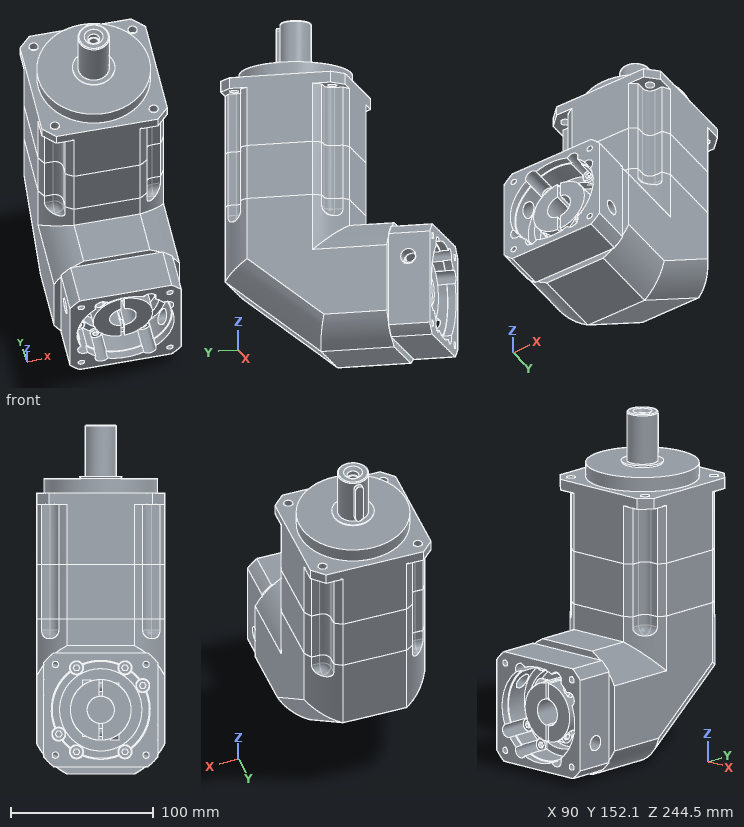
import cadquery as cq
import math

body_width = 90.0
half_width = body_width / 2
corner_radius = 50.9
axis_z = half_width

total_height = 244.5
seal_top_z = 208.5
pilot_top_z = 207.0
flange_top_z = 196.8
flange_bottom_z = 189.0
ring_top_z = 147.0
elbow_top_z = 108.5

pilot_radius = 39.9
flange_chamfer = 8.5
flange_hole_place = 35.5
flange_hole_radius = 3.2

groove_radius = 6.0
groove_bottom_z = 94.9

arm_end_y = -77.3
slant_top_z = 54.8
slant_bottom_y = -24.5

shaft_radius = 11.0
shaft_chamfer = 0.7
seal_top_radius = 15.0
seal_bottom_radius = 14.2
key_width = 5.9
key_top_y = 13.5
key_root_y = 7.3
key_top_z = 242.0
key_bottom_z = 210.0
centre_mouth_radius = 6.5
centre_relief_radius = 4.2
centre_cone_depth = 2.5
centre_relief_depth = 6.0
centre_drill_radius = 3.5
centre_drill_depth = 19.5

adapter_width = 80.0
adapter_length = 29.8
adapter_corner_radius = 51.8
motor_pilot_radius = 34.7
motor_pilot_depth = 5.9
adapter_bore_radius = 34.0
adapter_bore_depth = 22.0
adapter_rear_hole_radius = 28.9
motor_hole_place = 31.8
motor_hole_radius = 2.2
motor_hole_depth = 14.7

screw_circle_radius = 34.0
screw_angles = (30, 60, 120, 210, 240, 300)
screw_pocket_radius = 5.0
screw_pocket_depth = 25.7
screw_head_radius = 4.5
screw_head_height = 5.0
screw_socket_size = 4.6
screw_socket_depth = 2.5

hub_radius = 21.3
hub_front_depth = 9.3
hub_bore_radius = 9.5
slit_width = 2.5
slit_depth = 18.3
bolt_depth = 15.6
bolt_offset = 16.0
bolt_half_length = 13.0
bolt_shank_radius = 3.0
bolt_head_radius = 5.1
bolt_head_height = 6.0
bolt_socket_size = 5.9
bolt_socket_depth = 3.0
access_hole_radius = 5.5

section_flat = math.sqrt(corner_radius**2 - half_width**2)
adapter_front_y = arm_end_y - adapter_length
hub_front_y = adapter_front_y + hub_front_depth
hub_length = arm_end_y - hub_front_y
bolt_y = adapter_front_y + bolt_depth
reach = 2 * total_height


def rounded_prism(width, radius, length, plane, origin):
    """Square prism whose corners are turned down to a radius about its own axis."""
    square = cq.Workplane(plane, origin=origin).rect(width, width).extrude(length)
    round_bar = cq.Workplane(plane, origin=origin).circle(radius).extrude(length)
    return square.intersect(round_bar)


def cut_screw_grooves(body):
    """Cut the four round-bottomed corner grooves that start under the flange."""
    inner = flange_hole_place - groove_radius
    size = body_width - inner
    groove = (
        cq.Workplane("XY", origin=(inner, inner, groove_bottom_z))
        .box(size, size, flange_bottom_z - groove_bottom_z, centered=False)
        .edges("(<X and <Y) or (<X and <Z) or (<Y and <Z)")
        .fillet(groove_radius)
    )
    for turn in range(4):
        body = body.cut(groove.rotate((0, 0, 0), (0, 0, 1), 90 * turn))
    return body


def x_cylinder(radius, x_start, x_end, y, z):
    """Cylinder along X between two X positions."""
    return cq.Workplane("YZ", origin=(x_start, y, z)).circle(radius).extrude(x_end - x_start)


def make_output_housing():
    column_height = flange_bottom_z - ring_top_z
    column = rounded_prism(body_width, corner_radius, column_height, "XY", (0, 0, ring_top_z))
    flange = (
        cq.Workplane("XY", origin=(0, 0, flange_bottom_z))
        .rect(body_width, body_width)
        .extrude(flange_top_z - flange_bottom_z)
        .edges("|Z")
        .chamfer(flange_chamfer)
    )
    pilot = (
        cq.Workplane("XY", origin=(0, 0, flange_top_z))
        .circle(pilot_radius)
        .extrude(pilot_top_z - flange_top_z)
    )
    holes = (
        cq.Workplane("XY", origin=(0, 0, flange_bottom_z))
        .rect(2 * flange_hole_place, 2 * flange_hole_place, forConstruction=True)
        .vertices()
        .circle(flange_hole_radius)
        .extrude(flange_top_z - flange_bottom_z)
    )
    return cut_screw_grooves(column).union(flange).union(pilot).cut(holes)


def make_ring_housing():
    ring_height = ring_top_z - elbow_top_z
    ring = rounded_prism(body_width, corner_radius, ring_height, "XY", (0, 0, elbow_top_z))
    return cut_screw_grooves(ring)


def elbow_slab(outward_angle, face_y, face_z):
    """Endless slab of the body width, bounded by one outer face with rounded edges.

    The face passes through (face_y, face_z); its outward direction is turned
    from +Y towards +Z by outward_angle degrees.
    """
    edge_depth = half_width - section_flat
    arc_x = corner_radius / math.sqrt(2)
    arc_depth = half_width - arc_x
    slab = (
        cq.Workplane("XY", origin=(0, 0, -reach))
        .moveTo(-half_width, -reach)
        .lineTo(-half_width, -edge_depth)
        .threePointArc((-arc_x, -arc_depth), (-section_flat, 0))
        .lineTo(section_flat, 0)
        .threePointArc((arc_x, -arc_depth), (half_width, -edge_depth))
        .lineTo(half_width, -reach)
        .close()
        .extrude(2 * reach)
    )
    return slab.rotate((0, 0, 0), (1, 0, 0), outward_angle).translate((0, face_y, face_z))


def make_elbow():
    slant_angle = math.degrees(math.atan2(slant_bottom_y - half_width, slant_top_z))
    column_front = elbow_slab(180, -half_width, 0)
    arm_top = elbow_slab(90, 0, body_width)
    column_back = elbow_slab(0, half_width, 0)
    arm_bottom = elbow_slab(-90, 0, 0)
    slanted_back = elbow_slab(slant_angle, half_width, slant_top_z)
    limits = cq.Workplane("XY", origin=(-half_width, arm_end_y, 0)).box(
        body_width, half_width - arm_end_y, elbow_top_z, centered=False
    )
    elbow = limits.intersect(column_back).intersect(arm_bottom).intersect(slanted_back)
    elbow = elbow.intersect(column_front).union(elbow.intersect(arm_top))
    return cut_screw_grooves(elbow)


def make_output_shaft():
    relief_z = total_height - centre_cone_depth
    drill_z = total_height - centre_relief_depth
    tip_z = total_height - centre_drill_depth
    outline = (
        cq.Workplane("XZ")
        .moveTo(0, pilot_top_z)
        .lineTo(seal_bottom_radius, pilot_top_z)
        .lineTo(seal_top_radius, seal_top_z)
        .lineTo(shaft_radius, seal_top_z)
        .lineTo(shaft_radius, total_height - shaft_chamfer)
        .lineTo(shaft_radius - shaft_chamfer, total_height)
        .lineTo(centre_mouth_radius, total_height)
        .lineTo(centre_relief_radius, relief_z)
        .lineTo(centre_relief_radius, drill_z)
        .lineTo(centre_drill_radius, drill_z)
        .lineTo(centre_drill_radius, tip_z)
        .lineTo(0, tip_z - centre_drill_radius)
        .close()
    )
    shaft = outline.revolve(360, (0, 0, 0), (0, 1, 0))
    key = (
        cq.Workplane("XZ", origin=(0, key_top_y, (key_top_z + key_bottom_z) / 2))
        .slot2D(key_top_z - key_bottom_z, key_width, 90)
        .extrude(key_top_y - key_root_y)
    )
    return shaft.union(key)


def input_plane(y):
    """Work plane on the input axis, facing -Y."""
    return cq.Workplane("XZ", origin=(0, y, axis_z))


def input_cylinder(radius, front_y, depth):
    """Cylinder on the input axis, reaching from front_y towards +Y."""
    return input_plane(front_y).circle(radius).extrude(-depth)


def make_adapter():
    adapter = rounded_prism(
        adapter_width, adapter_corner_radius, adapter_length, "XZ", (0, arm_end_y, axis_z)
    )
    adapter = adapter.cut(input_cylinder(motor_pilot_radius, adapter_front_y, motor_pilot_depth))
    adapter = adapter.cut(input_cylinder(adapter_bore_radius, adapter_front_y, adapter_bore_depth))
    adapter = adapter.cut(input_cylinder(adapter_rear_hole_radius, adapter_front_y, adapter_length))
    for x in (-motor_hole_place, motor_hole_place):
        for z in (axis_z - motor_hole_place, axis_z + motor_hole_place):
            adapter = adapter.cut(drilled_hole(x, z))
    for side in (-1, 1):
        access_z = axis_z - side * bolt_offset
        adapter = adapter.cut(
            x_cylinder(access_hole_radius, 0, side * adapter_width, bolt_y, access_z)
        )
    return add_adapter_screws(adapter)


def drilled_hole(x, z):
    """Blind motor hole in the adapter front, ending in a 90 degree drill tip."""
    tip_depth = motor_hole_depth + motor_hole_radius
    return (
        cq.Workplane("XY")
        .lineTo(motor_hole_radius, 0)
        .lineTo(motor_hole_radius, motor_hole_depth)
        .lineTo(0, tip_depth)
        .close()
        .revolve(360, (0, 0, 0), (0, 1, 0))
        .translate((x, adapter_front_y, z))
    )


def add_adapter_screws(adapter):
    """Open a pocket for each fixing screw and leave the screw head on its floor."""
    floor_y = adapter_front_y + screw_pocket_depth
    head_y = floor_y - screw_head_height
    points = [
        (
            screw_circle_radius * math.cos(math.radians(angle)),
            screw_circle_radius * math.sin(math.radians(angle)),
        )
        for angle in screw_angles
    ]
    pockets = (
        input_plane(adapter_front_y)
        .pushPoints(points)
        .circle(screw_pocket_radius)
        .extrude(-screw_pocket_depth)
    )
    heads = input_plane(floor_y).pushPoints(points).circle(screw_head_radius).extrude(screw_head_height)
    sockets = (
        input_plane(head_y).pushPoints(points).polygon(6, screw_socket_size).extrude(-screw_socket_depth)
    )
    return adapter.cut(pockets).union(heads).cut(sockets)


def make_clamp_hub():
    hub = input_cylinder(hub_radius, hub_front_y, hub_length)
    hub = hub.cut(input_cylinder(hub_bore_radius, hub_front_y, hub_length))
    slit = input_plane(hub_front_y).rect(slit_width, 2 * hub_radius).extrude(-slit_depth)
    hub = hub.cut(slit)
    for side in (-1, 1):
        hub = add_clamp_bolt(hub, side)
    return hub


def add_clamp_bolt(hub, side):
    """Cross bolt whose head points to the -X (side = -1) or +X (side = 1) flank."""
    bolt_z = axis_z - side * bolt_offset
    head_x = side * bolt_half_length
    neck_x = head_x - side * bolt_head_height
    socket_x = head_x - side * bolt_socket_depth
    seat = x_cylinder(bolt_head_radius, head_x, side * hub_radius, bolt_y, bolt_z)
    tip_seat = x_cylinder(bolt_shank_radius, -head_x, -side * hub_radius, bolt_y, bolt_z)
    head = x_cylinder(bolt_head_radius, neck_x, head_x, bolt_y, bolt_z)
    shank = x_cylinder(bolt_shank_radius, neck_x, -head_x, bolt_y, bolt_z)
    socket = (
        cq.Workplane("YZ", origin=(head_x, bolt_y, bolt_z))
        .polygon(6, bolt_socket_size)
        .extrude(socket_x - head_x)
    )
    return hub.cut(seat).cut(tip_seat).union(head).union(shank).cut(socket)


output_housing = make_output_housing()
ring_housing = make_ring_housing()
elbow = make_elbow()
output_shaft = make_output_shaft()
adapter = make_adapter()
clamp_hub = make_clamp_hub()

bodies = (output_housing, ring_housing, elbow, output_shaft, adapter, clamp_hub)

result = cq.Compound.makeCompound([body.solids().val() for body in bodies])